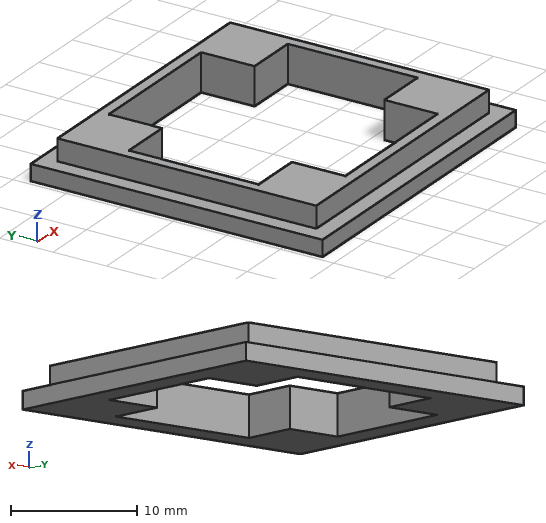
import cadquery as cq

length = 29.0
width = 27.25
flange_thickness = 1.5

total_height = 3.5
frame_setback = 1.55
frame_length = length - 2 * frame_setback
frame_width = width - 2 * frame_setback

wall = 1.05
corner_block = 5.0
opening_length = frame_length - 2 * wall
opening_width = frame_width - 2 * wall


def centred_box(size_x, size_y, height):
    """Box centred on the Z axis and standing on the base plane."""
    return cq.Workplane("XY").box(size_x, size_y, height, centered=(True, True, False))


def cross_opening():
    """Two crossing bars that together leave the four corner blocks standing."""
    long_bar = centred_box(opening_length, opening_width - 2 * corner_block, total_height)
    cross_bar = centred_box(opening_length - 2 * corner_block, opening_width, total_height)
    return long_bar.union(cross_bar)


flange = centred_box(length, width, flange_thickness)
frame = centred_box(frame_length, frame_width, total_height)
result = flange.union(frame).cut(cross_opening())